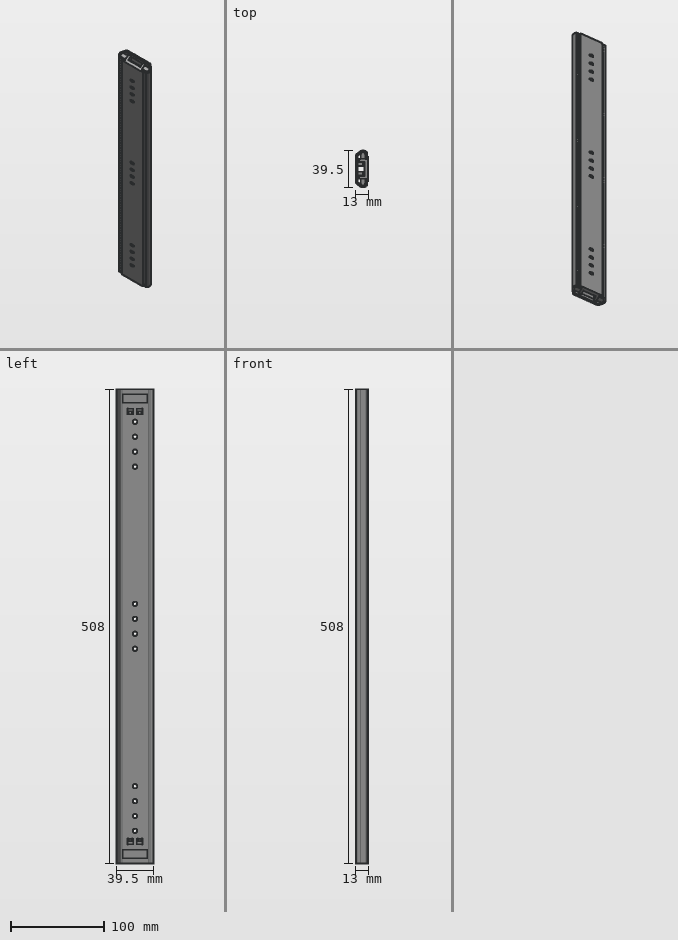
import cadquery as cq
import math

LENGTH = 508.0
THICKNESS = 13.0
WIDTH = 39.5
SHEET = 2.0
OUTER_FACE = -THICKNESS / 2
INNER_FACE = THICKNESS / 2
OUTER_WEB_BACK = OUTER_FACE + SHEET

CROWN_RADIUS = 4.5
CROWN_X = 1.0
CROWN_Y = WIDTH / 2 - CROWN_RADIUS
CORNER_RADIUS = 2.5
FLANK_TILT = math.radians(37)
RETURN_LENGTH = 2.0
LIP_END_Y = 14.0

INNER_WEB_HALF_WIDTH = 13.0
INNER_EDGE_BACK = INNER_FACE - SHEET
INNER_WEB_BACK = INNER_FACE - 2 * SHEET
FLANGE_OUTSIDE_Y = 10.5
FLANGE_INSIDE_Y = 7.5
FLANGE_TIP_X = -3.0

HOLE_DIAMETER = 4.5
HOLE_PITCH = 16.0
HOLES_PER_GROUP = 4
END_HOLE_INSET = 35.0

PAD_WIDTH = 26.0
PAD_HEIGHT = 9.0
PAD_INSET = 5.5

SLOT_WIDTH = 6.5
SLOT_HEIGHT = 6.0
SLOT_CENTRE_Y = 5.0
SLOT_INSET = 21.0
TAB_WIDTH = 4.0
TAB_SHEET = 1.5
TAB_TIP_X = 1.0
TAB_RISE = 3.0


def crown_point(radius, angle):
    """Point on an arc about the crown centre; the angle runs from +Y toward +X."""
    return (CROWN_X + radius * math.sin(angle), CROWN_Y + radius * math.cos(angle))


def lip_points(depth):
    """Named points of the lip's surface, `depth` below the outside, from web to return end."""
    corner_radius = CORNER_RADIUS - depth
    crown_radius = CROWN_RADIUS - depth
    flank_end = crown_point(crown_radius, -FLANK_TILT)
    corner_turn = math.pi / 2 - FLANK_TILT
    corner_x = OUTER_FACE + CORNER_RADIUS
    flank_x = corner_x - corner_radius * math.cos(corner_turn)
    flank_y = flank_end[1] - (flank_end[0] - flank_x) * math.tan(FLANK_TILT)
    corner_y = flank_y - corner_radius * math.sin(corner_turn)
    corner_mid = (
        corner_x - corner_radius * math.cos(corner_turn / 2),
        corner_y + corner_radius * math.sin(corner_turn / 2),
    )
    return_start = crown_point(crown_radius, FLANK_TILT)
    return_end = (
        return_start[0] + RETURN_LENGTH * math.cos(FLANK_TILT),
        return_start[1] - RETURN_LENGTH * math.sin(FLANK_TILT),
    )
    return {
        "web_end": (corner_x - corner_radius, corner_y),
        "corner_mid": corner_mid,
        "flank_start": (flank_x, flank_y),
        "flank_end": flank_end,
        "crown_top": crown_point(crown_radius, 0),
        "return_start": return_start,
        "return_end": return_end,
    }


def mirror_y(shape):
    return shape.mirror("XZ")


def extrude_full_length(outline):
    return outline.close().extrude(LENGTH / 2, both=True)


def outer_profile():
    """C-shaped section: the +Y half, mirrored to the -Y side."""
    outside = lip_points(0)
    inside = lip_points(SHEET)
    half = extrude_full_length(
        cq.Workplane("XY")
        .moveTo(OUTER_FACE, 0)
        .lineTo(*outside["web_end"])
        .threePointArc(outside["corner_mid"], outside["flank_start"])
        .lineTo(*outside["flank_end"])
        .threePointArc(outside["crown_top"], outside["return_start"])
        .lineTo(*outside["return_end"])
        .lineTo(outside["return_end"][0], LIP_END_Y)
        .lineTo(inside["return_end"][0], LIP_END_Y)
        .lineTo(*inside["return_end"])
        .lineTo(*inside["return_start"])
        .threePointArc(inside["crown_top"], inside["flank_end"])
        .lineTo(*inside["flank_start"])
        .threePointArc(inside["corner_mid"], inside["web_end"])
        .lineTo(OUTER_WEB_BACK, 0)
    )
    return half.union(mirror_y(half)).clean()


def screw_holes():
    """Cylinders along X that pierce both webs."""
    group_span = (HOLES_PER_GROUP - 1) * HOLE_PITCH
    end_group_z = LENGTH / 2 - END_HOLE_INSET - group_span / 2
    places = [
        (0, group_z + i * HOLE_PITCH - group_span / 2)
        for group_z in (-end_group_z, 0, end_group_z)
        for i in range(HOLES_PER_GROUP)
    ]
    return (
        cq.Workplane("YZ")
        .pushPoints(places)
        .circle(HOLE_DIAMETER / 2)
        .extrude(THICKNESS / 2, both=True)
    )


def web_block(width, height, y, z):
    """Block as thick as the outer rail's web, centred at (y, z) within the web."""
    return cq.Workplane("XY").box(SHEET, width, height).translate((OUTER_FACE + SHEET / 2, y, z))


def make_end_pad(end):
    """Pad near one rail end; `end` is +1 for the top and -1 for the bottom."""
    z = end * (LENGTH / 2 - PAD_INSET - PAD_HEIGHT / 2)
    return web_block(PAD_WIDTH, PAD_HEIGHT, 0, z)


def stop_tab(end, y):
    """Tab bent inward from the slot edge that lies farther from the rail end."""
    hinge_z = LENGTH / 2 - SLOT_INSET - SLOT_HEIGHT
    tab = (
        cq.Workplane("XZ")
        .moveTo(OUTER_FACE, hinge_z - TAB_SHEET)
        .lineTo(OUTER_FACE, hinge_z)
        .lineTo(TAB_TIP_X, hinge_z + TAB_RISE)
        .lineTo(TAB_TIP_X, hinge_z + TAB_RISE - TAB_SHEET)
        .close()
        .extrude(TAB_WIDTH / 2, both=True)
        .translate((0, y, 0))
    )
    return tab if end > 0 else tab.mirror("XY")


def make_outer_rail():
    rail = outer_profile().cut(screw_holes())
    slot_z = LENGTH / 2 - SLOT_INSET - SLOT_HEIGHT / 2
    for end in (1, -1):
        rail = rail.cut(make_end_pad(end))
        for y in (SLOT_CENTRE_Y, -SLOT_CENTRE_Y):
            rail = rail.cut(web_block(SLOT_WIDTH, SLOT_HEIGHT, y, end * slot_z))
            rail = rail.union(stop_tab(end, y))
    return rail


def make_inner_rail():
    """Web, thicker between two flanges that point toward the outer rail's web."""
    half = extrude_full_length(
        cq.Workplane("XY")
        .moveTo(INNER_FACE, 0)
        .lineTo(INNER_FACE, INNER_WEB_HALF_WIDTH)
        .lineTo(INNER_EDGE_BACK, INNER_WEB_HALF_WIDTH)
        .lineTo(INNER_EDGE_BACK, FLANGE_OUTSIDE_Y)
        .lineTo(FLANGE_TIP_X, FLANGE_OUTSIDE_Y)
        .lineTo(FLANGE_TIP_X, FLANGE_INSIDE_Y)
        .lineTo(INNER_WEB_BACK, FLANGE_INSIDE_Y)
        .lineTo(INNER_WEB_BACK, 0)
    )
    return half.union(mirror_y(half)).clean().cut(screw_holes())


def make_bearing_strip(side):
    """Strip between a flange and the lip's crown; `side` is +1 for +Y and -1 for -Y."""
    radius = CROWN_RADIUS - SHEET
    strip = extrude_full_length(
        cq.Workplane("XY")
        .moveTo(CROWN_X - radius, FLANGE_OUTSIDE_Y)
        .lineTo(CROWN_X - radius, CROWN_Y)
        .threePointArc(crown_point(radius, 0), (CROWN_X + radius, CROWN_Y))
        .lineTo(CROWN_X + radius, FLANGE_OUTSIDE_Y)
    )
    return strip if side > 0 else mirror_y(strip)


outer_rail = make_outer_rail()
inner_rail = make_inner_rail()
bearing_strips = [make_bearing_strip(side) for side in (1, -1)]
end_pads = [make_end_pad(end) for end in (1, -1)]

result = cq.Compound.makeCompound(
    [
        outer_rail.val(),
        inner_rail.val(),
        *[strip.val() for strip in bearing_strips],
        *[pad.val() for pad in end_pads],
    ]
)